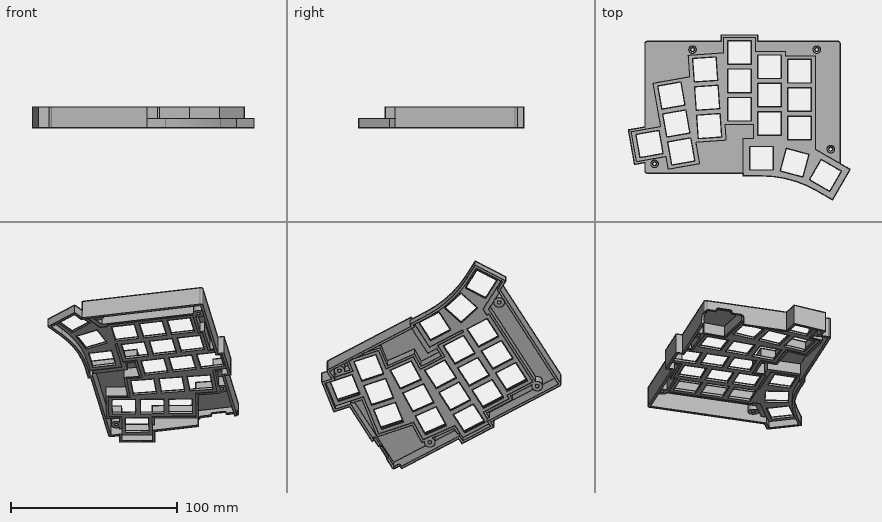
import cadquery as cq
import math


case_height = 12.5
plate_top = 5.7
plate_bottom = 4.3
rest_height = 4.0
roof_thickness = 1.6

frame_width = 117.3
frame_depth = 79.3
corner_radius = 1.6
wall = 1.5

switch_opening = 14.0
key_pitch_x = 18.0
key_pitch_y = 17.0
well_margin = 0.6
rows = (-1, 0, 1)

pinky_centre = (18.9, 30.0)
pinky_tilt = 10
pinky_reach = 4.0
ring_centre = (37.4, 45.4)
ring_tilt = 4
ring_reach = 2.5
middle_centre = (56.8, 55.5)
index_centre = (middle_centre[0] + key_pitch_x, 47.0)
inner_centre = (index_centre[0] + key_pitch_x, 44.3)
columns = [
    (pinky_centre, pinky_tilt, pinky_reach),
    (ring_centre, ring_tilt, ring_reach),
    (middle_centre, 0, 0),
    (index_centre, 0, 0),
    (inner_centre, 0, 0),
]
outer_key_drop = 9.3

fan_centre = (70.0, -67.6)
fan_radius = 76.7
fan_tilts = (0, -15, -30)

screw_centres = [(5.9, 5.7), (28.6, 74.3), (103.2, 74.3), (111.5, 14.5)]
screw_diameter = 2.1
screw_head_diameter = 4.5
post_diameter = 6.4

notch_start = 54.7
notch_end = 78.8
notch_height = 6.5
notch_radius = 2.1
corner_notch_length = 6.1
corner_notch_height = 5.0
corner_notch_radius = 2.4
port_centre_y = 67.1
port_width = 9.2
port_top = 8.1
port_radius = 1.0
port_bevel = 0.4

well_width = key_pitch_x + 2 * well_margin
well_depth = key_pitch_y + 2 * well_margin
thumb_top = index_centre[1] - key_pitch_y - well_depth / 2
roof_bottom = case_height - roof_thickness


def shifted(centre, tilt, along, across):
    """Point moved from a centre along and across a direction tilted from X."""
    angle = math.radians(tilt)
    return (
        centre[0] + along * math.cos(angle) - across * math.sin(angle),
        centre[1] + along * math.sin(angle) + across * math.cos(angle),
    )


def tilted_block(centre, tilt, width, depth, bottom, top):
    block = cq.Workplane("XY").box(width, depth, top - bottom, centered=(True, True, False))
    return block.rotate((0, 0, 0), (0, 0, 1), tilt).translate((centre[0], centre[1], bottom))


outer_key_centre = shifted(pinky_centre, pinky_tilt, -key_pitch_x, -outer_key_drop)


def thumb_centre(tilt):
    return shifted(fan_centre, tilt, 0, fan_radius)


def key_wells(growth, bottom, top):
    """Blocks over all finger key wells, widened by growth on every side."""
    depth = well_depth + 2 * growth
    width = well_width + 2 * growth
    wells = tilted_block(outer_key_centre, pinky_tilt, width, depth, bottom, top)
    for centre, tilt, reach in columns:
        column_depth = depth + 2 * key_pitch_y
        wells = wells.union(tilted_block(centre, tilt, width, column_depth, bottom, top))
        if reach:
            upper_centre = shifted(centre, tilt, reach / 2, key_pitch_y / 2)
            upper_depth = depth + key_pitch_y
            wells = wells.union(
                tilted_block(upper_centre, tilt, width + reach, upper_depth, bottom, top)
            )
    return wells


def thumb_area(growth, bottom, top):
    """Block over the thumb fan: straight sides, curved front edge."""
    half_width = well_width / 2 + wall
    half_depth = well_depth / 2 + wall
    first, second, last = fan_tilts
    left = fan_centre[0] - half_width
    right = inner_centre[0] + well_width / 2
    last_key = thumb_centre(last)
    rear_right = shifted(last_key, last, half_width, half_depth)
    front_right = shifted(last_key, last, half_width, -half_depth)

    def front_edge(tilt):
        return shifted(thumb_centre(tilt), tilt, 0, -half_depth)

    rear_bend = (right, rear_right[1] - (rear_right[0] - right) * math.tan(math.radians(last)))
    outline = (
        cq.Workplane("XY")
        .workplane(offset=bottom)
        .moveTo(left, thumb_top)
        .lineTo(left, front_edge(first)[1])
        .lineTo(*front_edge(first))
        .threePointArc(front_edge(second), front_edge(last))
        .lineTo(*front_right)
        .lineTo(*rear_right)
        .lineTo(*rear_bend)
        .lineTo(right, thumb_top)
        .close()
    )
    if growth:
        outline = outline.offset2D(growth, "intersection")
    return outline.extrude(top - bottom)


def frame_block(inset, bottom, top):
    block = cq.Workplane("XY").box(
        frame_width - 2 * inset, frame_depth - 2 * inset, top - bottom, centered=False
    )
    return block.translate((inset, inset, bottom))


def screw_cylinders(diameter, bottom, top):
    return (
        cq.Workplane("XY")
        .workplane(offset=bottom)
        .pushPoints(screw_centres)
        .circle(diameter / 2)
        .extrude(top - bottom)
    )


def raised_case():
    """Solid frame with its key bays, sunk to the plate level over the keys."""
    frame = frame_block(0, 0, case_height)
    frame = frame.edges("|Z and (<X or (>X and >Y))").fillet(corner_radius)
    sunken = key_wells(0, plate_top, case_height)
    sunken = sunken.union(thumb_area(0, plate_top, case_height))
    case = frame.union(key_wells(wall, 0, case_height)).cut(sunken)
    return case.union(thumb_area(0, 0, plate_top))


def circuit_board_space():
    """Open space under the whole case, up to the switch plate below the keys."""
    space = frame_block(wall, 0, rest_height)
    space = space.union(key_wells(0, 0, plate_bottom))
    return space.union(thumb_area(-wall, 0, plate_bottom))


def frame_hollow():
    """Space inside the raised frame, around the well walls and the screw posts."""
    hollow = frame_block(wall, rest_height, roof_bottom)
    hollow = hollow.cut(key_wells(wall, rest_height, roof_bottom))
    hollow = hollow.cut(thumb_area(wall, rest_height, roof_bottom))
    return hollow.cut(screw_cylinders(post_diameter, rest_height, roof_bottom))


def switch_openings():
    keys = [(outer_key_centre, pinky_tilt)]
    for centre, tilt, _ in columns:
        keys += [(shifted(centre, tilt, 0, row * key_pitch_y), tilt) for row in rows]
    keys += [(thumb_centre(tilt), tilt) for tilt in fan_tilts]
    openings = cq.Workplane("XY")
    for centre, tilt in keys:
        openings = openings.add(
            tilted_block(centre, tilt, switch_opening, switch_opening, 0, plate_top)
        )
    return openings.combine()


def countersinks():
    """Forty-five degree cones that seat the screw heads flush with the roof."""
    head_radius = screw_head_diameter / 2
    cone = cq.Solid.makeCone(0, head_radius, head_radius)
    cones = cq.Workplane("XY").pushPoints(screw_centres)
    return cones.eachpoint(
        lambda place: cone.translate((0, 0, case_height - head_radius)).moved(place), combine=False
    )


def left_wall_openings():
    """Notch from the base for the controller board and a bevelled port above it."""
    notch = (
        cq.Workplane("XY")
        .box(wall, notch_end - notch_start, notch_height, centered=False)
        .edges("|X and >Z")
        .fillet(notch_radius)
        .translate((0, notch_start, 0))
    )
    port = (
        cq.Workplane("XY")
        .box(wall, port_width, port_top, centered=(False, True, False))
        .edges("|X and >Z")
        .fillet(port_radius)
    )
    bevel = (
        port.faces("<X")
        .wires()
        .toPending()
        .workplane()
        .offset2D(port_bevel)
        .extrude(-port_bevel, taper=45, combine=False)
    )
    port = port.union(bevel)
    return notch.union(port.translate((0, port_centre_y, 0)))


def corner_notch():
    """Notch from the base in the rear wall, running out at the left corner."""
    notch = (
        cq.Workplane("XY")
        .box(corner_notch_length, wall, corner_notch_height, centered=False)
        .edges(">X and >Z")
        .fillet(corner_notch_radius)
    )
    return notch.translate((0, frame_depth - wall, 0))


result = (
    raised_case()
    .cut(circuit_board_space())
    .cut(frame_hollow())
    .cut(switch_openings())
    .cut(screw_cylinders(screw_diameter, 0, case_height))
    .cut(countersinks())
    .cut(left_wall_openings())
    .cut(corner_notch())
)